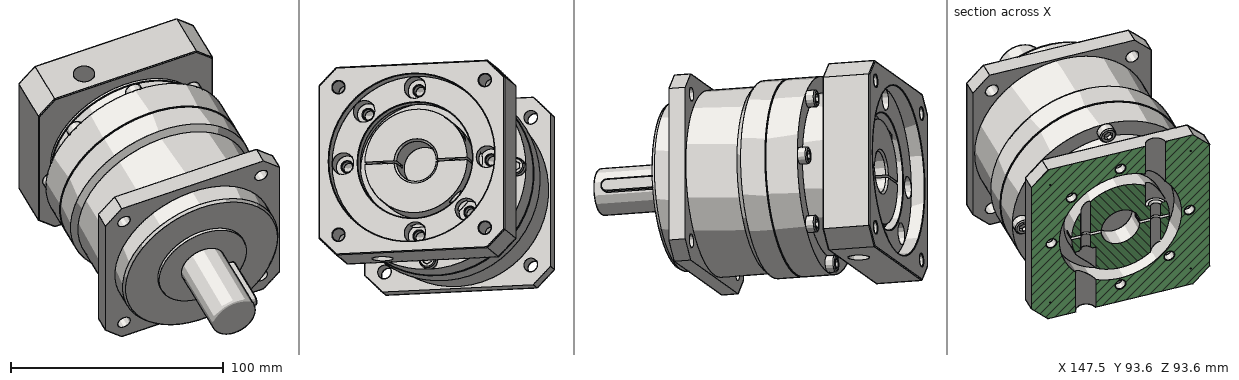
import cadquery as cq
import math


PLATE_BACK = 23.2
JOINT = 24.6
RING_START = 35.1
GROOVE_X = 50.7
TAPER_START = 63.1
BODY_START = 65.8
FLANGE_FRONT = 91.0
FLANGE_BACK = 99.1
PILOT_END = 109.3
BOSS_END = 110.8
SHAFT_END = 147.5

SQUARE = 90.0
CORNER_CUT = 8.4
CORNER_HOLE_OFFSET = 35.4

PLATE_EDGE_CHAMFER = 0.5
SPIGOT_RADIUS = 39.0
RIM_CHAMFER = 0.3
RECESS_RADIUS = 40.1
RECESS_DEPTH = 6.6
BORE_RADIUS = 27.7
WIDE_BORE_RADIUS = 30.7
WIDE_BORE_START = 11.8
TAP_RADIUS = 3.0
TAP_DEPTH = 13.3
TAP_TIP_ANGLE = 118.0
BOLT_CIRCLE_RADIUS = 34.8
BOLT_ANGLES = (0, 45, 90, 180, 225, 270)
COUNTERBORE_RADIUS = 5.2
COUNTERBORE_FLOOR = 14.6
BOLT_HOLE_RADIUS = 2.5
BOLT_HOLE_DEPTH = 4.4
BOLT_HOLE_CHAMFER = 0.5

CLAMP_X = 14.2
CLAMP_OFFSET = 17.5
ACCESS_RADIUS = 5.0
CLAMP_SEAT_HEIGHT = 8.8
CLAMP_SINK_RADIUS = 3.5
CLAMP_HOLE_RADIUS = 2.5

HUB_FRONT = 8.5
HUB_RADIUS = 24.8
HUB_BORE_RADIUS = 9.6
HUB_BORE_CHAMFER = 1.0
SLOT_WIDTH = 1.2
SLOT_END = 20.6

RING_RADIUS = 46.8
GROOVE_WIDTH = 0.5
GROOVE_DEPTH = 0.3
BODY_RADIUS = 44.1
FLANGE_HOLE_RADIUS = 3.2
PILOT_RADIUS = 40.1
PILOT_CHAMFER_LENGTH = 1.5
PILOT_CHAMFER_DEPTH = 0.9
BOSS_RADIUS = 22.5
SHAFT_RADIUS = 11.0
SHAFT_FILLET = 1.8
SCREW_COUNT = 8
SCREW_RADIUS = 4.0
SCREW_HEIGHT = 4.4
SCREW_CHAMFER = 0.6
SOCKET_ACROSS_FLATS = 4.0
SOCKET_DEPTH = 2.2

KEY_START = 115.2
KEY_END = 143.0
KEY_WIDTH = 6.0
KEY_TOP = 13.5
KEY_BOTTOM = 7.5
KEY_CHAMFER = 0.5


def disc(x_start, x_end, radius):
    """A cylinder on the gearbox axis."""
    return cq.Workplane("YZ", origin=(x_start, 0, 0)).circle(radius).extrude(x_end - x_start)


def square_plate(x_start, x_end):
    """A square plate with its four corners cut at 45 degrees."""
    plate = cq.Workplane("YZ", origin=(x_start, 0, 0)).rect(SQUARE, SQUARE).extrude(x_end - x_start)
    return plate.edges("|X").chamfer(CORNER_CUT)


def corner_points():
    """The (Y, Z) places of the four corner holes."""
    return [(y * CORNER_HOLE_OFFSET, z * CORNER_HOLE_OFFSET) for y in (-1, 1) for z in (-1, 1)]


def on_circle(radius, degrees):
    """The (Y, Z) point at an angle from +Y towards +Z."""
    return (radius * math.cos(math.radians(degrees)), radius * math.sin(math.radians(degrees)))


def drilled_hole(x_start, radius, depth, rim_chamfer, center):
    """A blind hole along X with a chamfered rim and a conical drill tip."""
    tip_length = radius / math.tan(math.radians(TAP_TIP_ANGLE / 2))
    y, z = center
    return (
        cq.Workplane("XY")
        .moveTo(x_start, 0)
        .lineTo(x_start, radius + rim_chamfer)
        .lineTo(x_start + rim_chamfer, radius)
        .lineTo(x_start + depth, radius)
        .lineTo(x_start + depth + tip_length, 0)
        .close()
        .revolve(360, (0, 0, 0), (1, 0, 0))
        .translate((0, y, z))
    )


def half_turn(shape):
    """The shape turned half way round the gearbox axis."""
    return shape.rotate((0, 0, 0), (1, 0, 0), 180)




def plate_opening():
    """The stepped opening: pilot recess, hub bore and the wider bore behind it."""
    return (
        cq.Workplane("XY")
        .moveTo(0, 0)
        .lineTo(0, RECESS_RADIUS + RIM_CHAMFER)
        .lineTo(RIM_CHAMFER, RECESS_RADIUS)
        .lineTo(RECESS_DEPTH, RECESS_RADIUS)
        .lineTo(RECESS_DEPTH, BORE_RADIUS + RIM_CHAMFER)
        .lineTo(RECESS_DEPTH + RIM_CHAMFER, BORE_RADIUS)
        .lineTo(WIDE_BORE_START, BORE_RADIUS)
        .lineTo(WIDE_BORE_START, WIDE_BORE_RADIUS)
        .lineTo(JOINT, WIDE_BORE_RADIUS)
        .lineTo(JOINT, 0)
        .close()
        .revolve(360, (0, 0, 0), (1, 0, 0))
    )


def clamp_access_hole():
    """The hole from the top face of the plate down to the clamp screw."""
    start = (CLAMP_X, -CLAMP_OFFSET, CLAMP_SEAT_HEIGHT)
    return cq.Workplane("XY", origin=start).circle(ACCESS_RADIUS).extrude(SQUARE / 2 - CLAMP_SEAT_HEIGHT)


def make_motor_plate():
    plate = square_plate(0, PLATE_BACK).faces("<X or >X").chamfer(PLATE_EDGE_CHAMFER)
    spigot = disc(PLATE_BACK, JOINT, SPIGOT_RADIUS).faces(">X").chamfer(RIM_CHAMFER)
    plate = plate.union(spigot).cut(plate_opening())
    for center in corner_points():
        plate = plate.cut(drilled_hole(0, TAP_RADIUS, TAP_DEPTH, RIM_CHAMFER, center))
    for degrees in BOLT_ANGLES:
        y, z = on_circle(BOLT_CIRCLE_RADIUS, degrees)
        counterbore = disc(RECESS_DEPTH, COUNTERBORE_FLOOR, COUNTERBORE_RADIUS).translate((0, y, z))
        hole = drilled_hole(COUNTERBORE_FLOOR, BOLT_HOLE_RADIUS, BOLT_HOLE_DEPTH, BOLT_HOLE_CHAMFER, (y, z))
        plate = plate.cut(counterbore).cut(hole)
    access = clamp_access_hole()
    return plate.cut(access).cut(half_turn(access))




def clamp_screw_hole():
    """A seat cut into the side of the hub, with a countersunk hole below it."""
    seat_center = (CLAMP_X, -CLAMP_OFFSET, CLAMP_SEAT_HEIGHT)
    sink_depth = CLAMP_SINK_RADIUS - CLAMP_HOLE_RADIUS
    seat = cq.Workplane("XY", origin=seat_center).circle(ACCESS_RADIUS).extrude(HUB_RADIUS)
    hole = cq.Workplane("XY", origin=seat_center).circle(CLAMP_HOLE_RADIUS).extrude(-2 * HUB_RADIUS)
    sink = (
        cq.Workplane("XY", origin=seat_center)
        .circle(CLAMP_SINK_RADIUS)
        .workplane(offset=-sink_depth)
        .circle(CLAMP_HOLE_RADIUS)
        .loft()
    )
    return seat.union(sink).union(hole)


def make_clamp_hub():
    hub = disc(HUB_FRONT, JOINT, HUB_RADIUS).cut(disc(HUB_FRONT, JOINT, HUB_BORE_RADIUS))
    hub = hub.faces("<X").edges("%CIRCLE").edges(cq.selectors.RadiusNthSelector(0)).chamfer(HUB_BORE_CHAMFER)
    slot_length = SLOT_END - HUB_FRONT
    slot = cq.Workplane("XY").box(slot_length, 2 * HUB_RADIUS, SLOT_WIDTH, centered=(False, True, True))
    hub = hub.cut(slot.translate((HUB_FRONT, 0, 0)))
    screw_hole = clamp_screw_hole()
    return hub.cut(screw_hole).cut(half_turn(screw_hole))




def turned_body():
    """Every round part of the gearbox from the input neck to the output boss."""
    return (
        cq.Workplane("XY")
        .moveTo(JOINT, 0)
        .lineTo(JOINT, SPIGOT_RADIUS)
        .lineTo(RING_START, SPIGOT_RADIUS)
        .lineTo(RING_START, RING_RADIUS)
        .lineTo(GROOVE_X, RING_RADIUS)
        .lineTo(GROOVE_X, RING_RADIUS - GROOVE_DEPTH)
        .lineTo(GROOVE_X + GROOVE_WIDTH, RING_RADIUS - GROOVE_DEPTH)
        .lineTo(GROOVE_X + GROOVE_WIDTH, RING_RADIUS)
        .lineTo(TAPER_START, RING_RADIUS)
        .lineTo(BODY_START, BODY_RADIUS)
        .lineTo(FLANGE_BACK, BODY_RADIUS)
        .lineTo(FLANGE_BACK, PILOT_RADIUS)
        .lineTo(PILOT_END - PILOT_CHAMFER_LENGTH, PILOT_RADIUS)
        .lineTo(PILOT_END, PILOT_RADIUS - PILOT_CHAMFER_DEPTH)
        .lineTo(PILOT_END, BOSS_RADIUS)
        .lineTo(BOSS_END, BOSS_RADIUS)
        .lineTo(BOSS_END, 0)
        .close()
        .revolve(360, (0, 0, 0), (1, 0, 0))
    )


def mounting_flange():
    holes = (
        cq.Workplane("YZ", origin=(FLANGE_FRONT, 0, 0))
        .pushPoints(corner_points())
        .circle(FLANGE_HOLE_RADIUS)
        .extrude(FLANGE_BACK - FLANGE_FRONT)
    )
    return square_plate(FLANGE_FRONT, FLANGE_BACK).cut(holes)


def screw_head():
    """A socket head on the axis, standing on the front face of the ring."""
    front = RING_START - SCREW_HEIGHT
    socket = (
        cq.Workplane("YZ", origin=(front, 0, 0))
        .polygon(6, SOCKET_ACROSS_FLATS, circumscribed=True)
        .extrude(SOCKET_DEPTH)
    )
    head = disc(front, RING_START, SCREW_RADIUS).faces("<X").chamfer(SCREW_CHAMFER)
    return head.cut(socket)


def make_gearbox(key):
    """The housing, with its screw heads and output shaft; the shaft has a pocket for the key."""
    shaft = disc(BOSS_END, SHAFT_END, SHAFT_RADIUS).faces(">X").edges().fillet(SHAFT_FILLET)
    gearbox = turned_body().union(mounting_flange()).union(shaft)
    for index in range(SCREW_COUNT):
        y, z = on_circle(RING_RADIUS - SCREW_RADIUS, index * 360 / SCREW_COUNT)
        gearbox = gearbox.union(screw_head().translate((0, y, z)))
    return gearbox.cut(key)




def make_key():
    middle = (KEY_START + KEY_END) / 2
    return (
        cq.Workplane("XZ", origin=(middle, KEY_BOTTOM, 0))
        .slot2D(KEY_END - KEY_START, KEY_WIDTH)
        .extrude(-(KEY_TOP - KEY_BOTTOM))
        .faces(">Y")
        .chamfer(KEY_CHAMFER)
    )


key = make_key()
motor_plate = make_motor_plate()
clamp_hub = make_clamp_hub()
gearbox = make_gearbox(key)

result = cq.Compound.makeCompound([motor_plate.val(), clamp_hub.val(), gearbox.val(), key.val()])